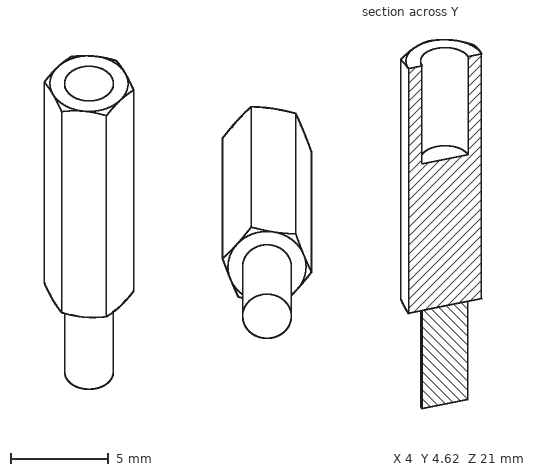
import cadquery as cq
import math

hex_sides = 6
across_flats = 4.0
spacer_length = 15.0
stud_length = 6.0
thread_diameter = 2.5
hole_depth = stud_length
chamfer_angle = 30.0
quarter_turn = 90.0

across_corners = across_flats / math.cos(math.pi / hex_sides)
flat_radius = across_flats / 2
corner_radius = across_corners / 2
chamfer_height = (corner_radius - flat_radius) * math.tan(math.radians(chamfer_angle))


def make_spacer():
    """Hexagonal spacer with corners on Y, turned ends and a blind hole in the top."""
    hexagon = (
        cq.Workplane("XY")
        .polygon(hex_sides, across_corners)
        .extrude(spacer_length)
        .rotate((0, 0, 0), (0, 0, 1), quarter_turn)
    )
    envelope = (
        cq.Workplane("XZ")
        .moveTo(0, 0)
        .lineTo(flat_radius, 0)
        .lineTo(corner_radius, chamfer_height)
        .lineTo(corner_radius, spacer_length - chamfer_height)
        .lineTo(flat_radius, spacer_length)
        .lineTo(0, spacer_length)
        .close()
        .revolve(axisStart=(0, 0, 0), axisEnd=(0, 1, 0))
    )
    hole = (
        cq.Workplane("XY")
        .workplane(offset=spacer_length - hole_depth)
        .circle(thread_diameter / 2)
        .extrude(hole_depth)
    )
    return hexagon.intersect(envelope).cut(hole)


def make_stud():
    """Plain round stud standing on the bottom face of the spacer."""
    return cq.Workplane("XY").circle(thread_diameter / 2).extrude(-stud_length)


spacer = make_spacer()
stud = make_stud()

result = cq.Compound.makeCompound([spacer.val(), stud.val()])